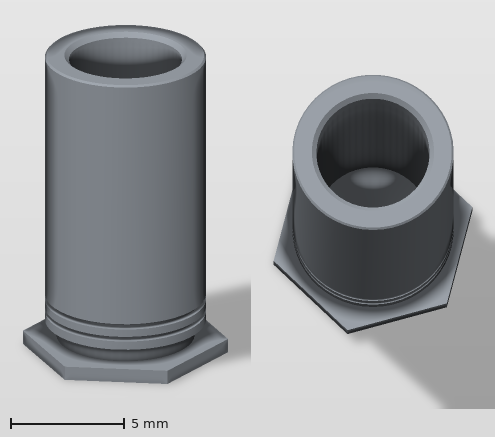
import cadquery as cq
import math

total_height = 14.0
hex_across_flats = 7.9
hex_thickness = 0.63

body_diameter = 7.13
groove_diameter = 6.61
neck_diameter = 6.1
neck_top = 1.39
top_edge_chamfer = 0.08
grooves = [(1.78, 2.0), (2.35, 2.6)]

bore_diameter = 5.0
mouth_diameter = 5.4
drill_point_angle = 118.0
bore_floor = grooves[-1][1]


def cylinder(diameter, bottom, top):
    return cq.Workplane("XY").workplane(offset=bottom).circle(diameter / 2).extrude(top - bottom)


def hex_head():
    across_corners = hex_across_flats / math.cos(math.radians(30))
    return cq.Workplane("XY").polygon(6, across_corners).extrude(hex_thickness)


def grooved_body():
    body = cylinder(body_diameter, neck_top, total_height).faces(">Z").edges().chamfer(top_edge_chamfer)
    for bottom, top in grooves:
        ring = cylinder(body_diameter, bottom, top).cut(cylinder(groove_diameter, bottom, top))
        body = body.cut(ring)
    return body


def bore():
    bore_radius = bore_diameter / 2
    mouth_radius = mouth_diameter / 2
    mouth_depth = mouth_radius - bore_radius
    point_depth = bore_radius / math.tan(math.radians(drill_point_angle / 2))
    half_profile = [
        (0, bore_floor - point_depth),
        (bore_radius, bore_floor),
        (bore_radius, total_height - mouth_depth),
        (mouth_radius, total_height),
        (0, total_height),
    ]
    return cq.Workplane("XZ").polyline(half_profile).close().revolve(360, (0, 0), (0, 1))


neck = cylinder(neck_diameter, hex_thickness, neck_top)
result = hex_head().union(neck).union(grooved_body()).cut(bore())